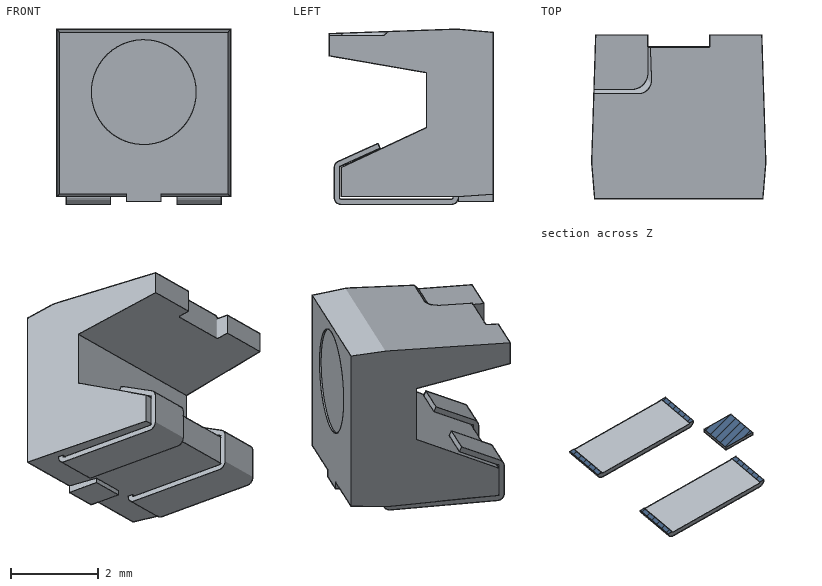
import cadquery as cq
import math

width = 4.0
half_width = width / 2
front_half_width = 1.935
rear_half_width = 1.91
depth = 3.77
height = 4.03
band_front = 0.8
band_rear = 0.915
body_bottom = 0.18
front_bottom = 0.238
front_top = 3.957
rear_top = 3.93

mouth_floor_y = 1.54
mouth_top = 3.025
mouth_bottom = 1.77
upper_jaw_tip_bottom = 3.415
lower_jaw_tip_y = 3.495
lower_jaw_tip_top = 0.855

notch_half_width = 0.71
notch_y = 3.478
notch_corner_radius = 0.035

recess_floor_z = 3.88
recess_front_y = 2.51
recess_floor_radius = 0.375
recess_rise = 0.16
recess_top_radius = 0.28

lens_radius = 1.205
lens_z = 2.585
lens_depth = 0.04
tab_half_width = 0.4
tab_bottom = 0.07

terminal_inner_x = 0.76
terminal_width = 1.025
sheet = 0.125
bend_inner_radius = 0.035
bend_outer_radius = bend_inner_radius + sheet
terminal_rear_y = 3.655
terminal_leg_top = 0.405
lip_outer_z = 0.95
lip_tip_y = 2.648
lip_tip_z = 1.405


def side_extrusion(points, x_start, width):
    """Extrude a closed (y, z) outline along X."""
    return cq.Workplane("YZ", origin=(x_start, 0, 0)).polyline(points).close().extrude(width)


def make_body():
    side = side_extrusion(
        [
            (0, front_bottom),
            (0, front_top),
            (band_front, height),
            (band_rear, height),
            (depth, rear_top),
            (depth, upper_jaw_tip_bottom),
            (mouth_floor_y, mouth_top),
            (mouth_floor_y, mouth_bottom),
            (lower_jaw_tip_y, lower_jaw_tip_top),
            (lower_jaw_tip_y, body_bottom),
            (band_rear, body_bottom),
            (band_front, body_bottom),
        ],
        -half_width,
        width,
    )
    right_edge = [
        (front_half_width, 0),
        (half_width, band_front),
        (half_width, band_rear),
        (rear_half_width, depth),
    ]
    left_edge = [(-x, y) for x, y in reversed(right_edge)]
    plan = cq.Workplane("XY").polyline(right_edge + left_edge).close().extrude(height)
    return side.intersect(plan)


def make_notch():
    cutter = cq.Workplane("XY", origin=(0, 0, mouth_top)).rect(2 * notch_half_width, 2 * (depth - notch_y))
    cutter = cutter.extrude(height - mouth_top).translate((0, depth, 0))
    return cutter.edges("|Z and <Y").fillet(notch_corner_radius)


def recess_outline(z, spread, radius):
    """Recess outline at height z, open past the left and rear of the body."""
    right = -notch_half_width + spread
    front = recess_front_y - spread
    diagonal = radius * math.sqrt(0.5)
    outline = (
        cq.Workplane("XY", origin=(0, 0, z))
        .moveTo(-width, front)
        .lineTo(right - radius, front)
        .threePointArc(
            (right - radius + diagonal, front + radius - diagonal),
            (right, front + radius),
        )
        .lineTo(right, 2 * depth)
        .lineTo(-width, 2 * depth)
        .close()
    )
    return outline.val()


def make_recess():
    floor = recess_outline(recess_floor_z, 0, recess_floor_radius)
    rim = recess_outline(recess_floor_z + recess_rise, recess_rise, recess_top_radius)
    return cq.Workplane(cq.Solid.makeLoft([floor, rim], True))


def make_lens():
    return cq.Workplane("XZ", origin=(0, 0, lens_z)).circle(lens_radius).extrude(-lens_depth)


def make_tab():
    tab_height = front_bottom - tab_bottom
    return cq.Workplane("XY").box(
        2 * tab_half_width, band_front, tab_height, centered=(True, False, False)
    ).translate((0, 0, tab_bottom))


def make_terminal(x_start):
    """Sheet strip from the body base, under and behind the lower jaw, to a sloping lip."""
    lip_angle = math.atan2(lip_tip_z - lip_outer_z, terminal_rear_y - lip_tip_y)
    tip_inner = (lip_tip_y - sheet * math.sin(lip_angle), lip_tip_z - sheet * math.cos(lip_angle))
    inner_rear_y = terminal_rear_y - sheet
    inner_lip_z = tip_inner[1] - (inner_rear_y - tip_inner[0]) * math.tan(lip_angle)
    leg_inner_y = band_front + sheet

    strip = side_extrusion(
        [
            (band_front, terminal_leg_top),
            (band_front, 0),
            (terminal_rear_y, 0),
            (terminal_rear_y, lip_outer_z),
            (lip_tip_y, lip_tip_z),
            tip_inner,
            (inner_rear_y, inner_lip_z),
            (inner_rear_y, sheet),
            (leg_inner_y, sheet),
            (leg_inner_y, terminal_leg_top),
        ],
        x_start,
        terminal_width,
    )

    def bend_edge(y, z):
        return cq.selectors.NearestToPointSelector((x_start + terminal_width / 2, y, z))

    outer_bends = [(band_front, 0), (terminal_rear_y, 0), (terminal_rear_y, lip_outer_z)]
    inner_bends = [(leg_inner_y, sheet), (inner_rear_y, sheet)]
    for y, z in outer_bends:
        strip = strip.edges(bend_edge(y, z)).fillet(bend_outer_radius)
    for y, z in inner_bends:
        strip = strip.edges(bend_edge(y, z)).fillet(bend_inner_radius)
    return strip


result = make_body().cut(make_notch()).cut(make_recess()).cut(make_lens()).union(make_tab())
for terminal_x in (-terminal_inner_x - terminal_width, terminal_inner_x):
    result = result.union(make_terminal(terminal_x))